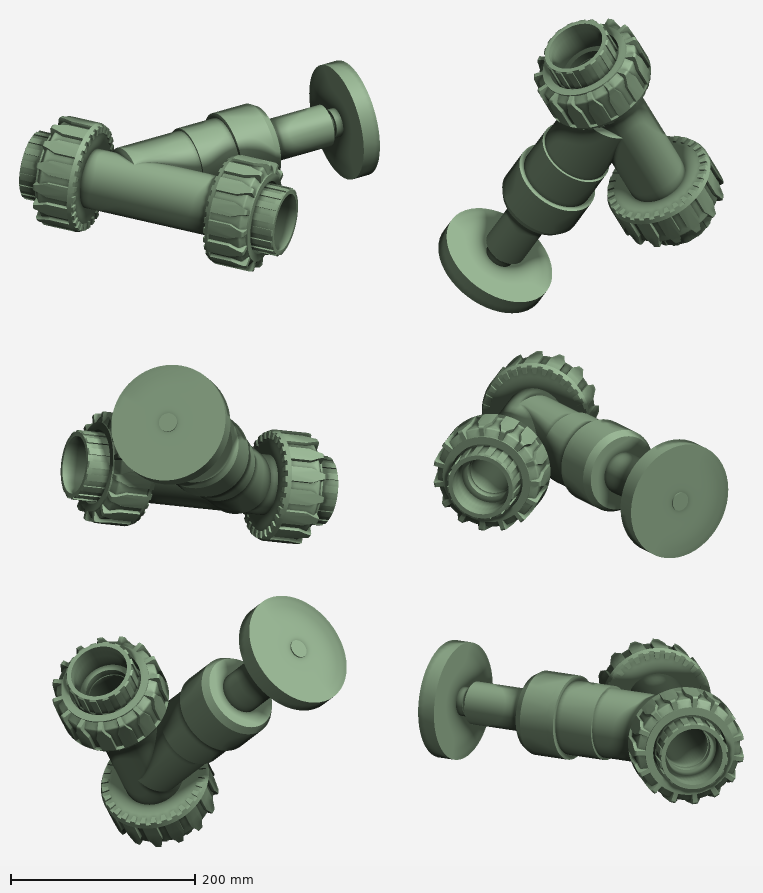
import cadquery as cq
import math

overall_length = 298.0
nut_offset = 24.0
nut_length = 48.5
pipe_diameter = 66.0
bore_diameter = 48.0

branch_angle = 50.0
branch_origin_x = 100.5
branch_diameter = 76.0
branch_cone_angle = 30.0
collar_diameter = 81.5
cap_diameter = 92.5
neck_diameter = 47.0
stem_diameter = 23.5
hub_diameter = 32.0
wheel_diameter = 129.0
boss_diameter = 20.5
cap_chamfer_width = 4.7

branch_start = 11.0
collar_start = 85.0
rim_start = 129.5
bonnet_start = 137.5
cap_chamfer_start = 170.8
cap_end = 179.0
neck_end = 253.5
hub_start = 260.2
wheel_start = 268.0
wheel_end = 287.7
boss_end = 289.5

connector_diameter = 76.0
connector_groove_count = 16
connector_groove_depth = 1.85
connector_chamfer_length = 1.0
connector_groove_length = 28.5
socket_diameter = 63.0
socket_depth = 38.5
connector_bore_diameter = 50.0

nut_diameter = 121.5
nut_bore_diameter = 81.5
nut_bore_depth = 24.0
nut_face_diameter = 98.0
flute_count = 15
flute_floor_diameter = 114.0
flute_lip = 2.0
flute_slope_length = 5.0
flute_floor_round = 2.7
rib_start = 1.0
rib_round = 2.7
rib_tip_width = 5.0
rib_shoulder_width = 8.7
rib_shoulder_start = 8.0
rib_full_width = 16.0
rib_full_start = 17.8
ring_start = 42.2
ring_end_diameter = 116.0
tooth_count = 30
tooth_height = 2.5
tooth_inner_diameter = 101.0
tooth_inner_width = 4.0
tooth_rim_width = 7.5

joint_x = nut_offset + nut_bore_depth
groove_pitch = 360 / connector_groove_count
flute_pitch = 360 / flute_count
tooth_pitch = 360 / tooth_count
inner_face_x = nut_length - tooth_height


def cylinder_x(diameter, start, end):
    """Cylinder around the X axis between two X positions."""
    disc = cq.Workplane("YZ", origin=(start, 0, 0)).circle(diameter / 2)
    return disc.extrude(end - start)


def around_x(shape, angle):
    """Copy of a shape turned around the X axis."""
    return shape.rotate((0, 0, 0), (1, 0, 0), angle)


def revolve_x(profile):
    """Solid of revolution around the X axis from an (x, radius) outline."""
    return profile.close().revolve(360, (0, 0, 0), (1, 0, 0))


def onto_branch_axis(shape):
    """Tilt a shape built along the X axis onto the branch axis."""
    tilted = shape.rotate((0, 0, 0), (0, 0, 1), branch_angle)
    return tilted.translate((branch_origin_x, 0, 0))


def opposite(shape):
    """Mirror image of a shape at the other end of the valve."""
    return shape.mirror("YZ").translate((overall_length, 0, 0))


def make_housing():
    pipe = cylinder_x(pipe_diameter, joint_x, overall_length - joint_x)
    branch_radius = branch_diameter / 2
    cone_depth = branch_radius * math.tan(math.radians(branch_cone_angle))
    branch = revolve_x(
        cq.Workplane("XY")
        .moveTo(branch_start - cone_depth, 0)
        .lineTo(branch_start, branch_radius)
        .lineTo(collar_start, branch_radius)
        .lineTo(collar_start, 0)
    )
    collar = cylinder_x(collar_diameter, collar_start, rim_start)
    rim = cylinder_x(cap_diameter, rim_start, bonnet_start)
    inclined = onto_branch_axis(branch.union(collar).union(rim))
    bore = cylinder_x(bore_diameter, 0, overall_length)
    return pipe.union(inclined).cut(bore)


def make_bonnet():
    cap_radius = cap_diameter / 2
    cap = revolve_x(
        cq.Workplane("XY")
        .moveTo(bonnet_start, 0)
        .lineTo(bonnet_start, cap_radius)
        .lineTo(cap_chamfer_start, cap_radius)
        .lineTo(cap_end, cap_radius - cap_chamfer_width)
        .lineTo(cap_end, 0)
    )
    neck = cylinder_x(neck_diameter, cap_end, neck_end)
    stem = cylinder_x(stem_diameter, neck_end, hub_start)
    hub = cylinder_x(hub_diameter, hub_start, wheel_start)
    wheel = cylinder_x(wheel_diameter, wheel_start, wheel_end)
    boss = cylinder_x(boss_diameter, wheel_end, boss_end)
    bonnet = cap.union(neck).union(stem).union(hub).union(wheel).union(boss)
    return onto_branch_axis(bonnet)


def make_connector():
    radius = connector_diameter / 2
    floor_radius = radius - connector_groove_depth
    groove_width = 2 * radius * math.sin(math.radians(groove_pitch / 4))
    sleeve = revolve_x(
        cq.Workplane("XY")
        .lineTo(0, floor_radius)
        .lineTo(connector_chamfer_length, radius)
        .lineTo(joint_x, radius)
        .lineTo(joint_x, 0)
    )
    bar = cq.Workplane("YZ").rect(2 * connector_diameter, groove_width)
    bar = bar.extrude(connector_groove_length)
    bar = bar.cut(cylinder_x(2 * floor_radius, 0, connector_groove_length))
    for i in range(connector_groove_count // 2):
        sleeve = sleeve.cut(around_x(bar, i * groove_pitch))
    socket = cylinder_x(socket_diameter, 0, socket_depth)
    bore = cylinder_x(connector_bore_diameter, 0, joint_x)
    return sleeve.cut(socket).cut(bore)


def make_nut_core():
    """Turned body of the nut up to the ring, with the flute floor as its outer surface."""
    face_radius = nut_face_diameter / 2
    floor_radius = flute_floor_diameter / 2
    bend_x = flute_lip + flute_slope_length
    slope = math.atan2(floor_radius - face_radius, flute_slope_length)
    tangent = flute_floor_round * math.tan(slope / 2)
    return revolve_x(
        cq.Workplane("XY")
        .moveTo(0, 0)
        .lineTo(0, face_radius)
        .lineTo(flute_lip, face_radius)
        .lineTo(bend_x - tangent * math.cos(slope), floor_radius - tangent * math.sin(slope))
        .radiusArc((bend_x + tangent, floor_radius), flute_floor_round)
        .lineTo(ring_start, floor_radius)
        .lineTo(ring_start, 0)
    )


def make_ring():
    """Tapered ring around the nut's inner end, up to the tips of the teeth."""
    return revolve_x(
        cq.Workplane("XY")
        .moveTo(ring_start, 0)
        .lineTo(ring_start, nut_diameter / 2)
        .lineTo(nut_length, ring_end_diameter / 2)
        .lineTo(nut_length, 0)
    )


def make_rib_envelope():
    """Round-cornered outer limit of the grip ribs."""
    radius = nut_diameter / 2
    return revolve_x(
        cq.Workplane("XY")
        .moveTo(rib_start, 0)
        .lineTo(rib_start, radius - rib_round)
        .radiusArc((rib_start + rib_round, radius), rib_round)
        .lineTo(ring_start, radius)
        .lineTo(ring_start, 0)
    )


def make_rib():
    """Grip rib on the +Z side, narrowing towards the outer end of the nut."""
    half_outline = [
        (rib_start, rib_tip_width / 2),
        (rib_shoulder_start, rib_shoulder_width / 2),
        (rib_full_start, rib_full_width / 2),
        (ring_start, rib_full_width / 2),
    ]
    other_half = [(x, -y) for x, y in reversed(half_outline)]
    rib = cq.Workplane("XY", origin=(0, 0, nut_bore_diameter / 2))
    rib = rib.polyline(half_outline + other_half).close().extrude(nut_diameter / 2)
    return rib.intersect(make_rib_envelope())


def make_tooth(ring):
    """Tapered tooth on the -Y side of the nut's inner face."""
    half_inner = tooth_inner_width / 2
    half_rim = tooth_rim_width / 2
    inner_y = -tooth_inner_diameter / 2
    outer_y = -nut_diameter / 2
    tooth = cq.Workplane("YZ", origin=(inner_face_x, 0, 0)).polyline([
        (inner_y, -half_inner),
        (inner_y, half_inner),
        (outer_y, half_rim),
        (outer_y, -half_rim),
    ])
    return tooth.close().extrude(tooth_height).intersect(ring)


def make_nut():
    ring = make_ring()
    rib = make_rib()
    tooth = make_tooth(ring)
    ring_base = ring.cut(cylinder_x(nut_diameter, inner_face_x, nut_length))
    nut = make_nut_core().union(ring_base)
    first_rib_angle = 90 + flute_pitch / 2
    for i in range(flute_count):
        nut = nut.union(around_x(rib, first_rib_angle + i * flute_pitch))
    for i in range(tooth_count):
        nut = nut.union(around_x(tooth, (i + 0.5) * tooth_pitch))
    nut = nut.cut(cylinder_x(nut_bore_diameter, 0, nut_bore_depth))
    nut = nut.cut(cylinder_x(pipe_diameter, 0, nut_length))
    return nut.translate((nut_offset, 0, 0))


housing = make_housing()
bonnet = make_bonnet()
end_fittings = []
for fitting in (make_nut(), make_connector()):
    end_fittings.append(fitting.val())
    end_fittings.append(opposite(fitting).val())

result = cq.Compound.makeCompound([housing.val(), bonnet.val(), *end_fittings])